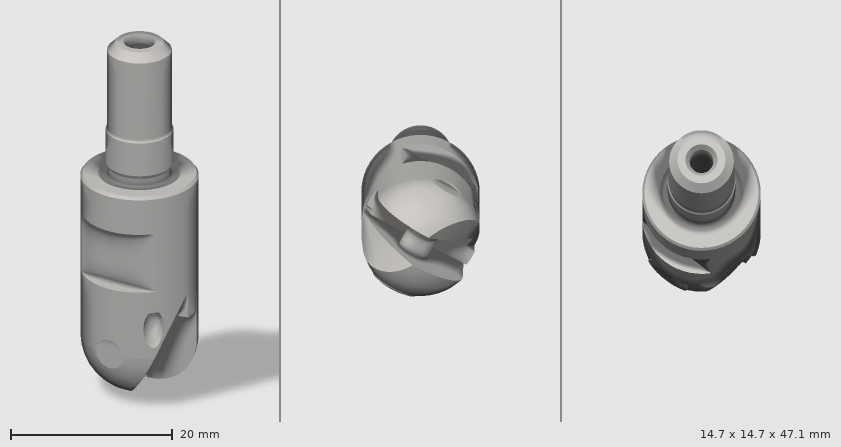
import cadquery as cq
import math

TOTAL_HEIGHT = 47.1
SHOULDER_Z = 29.2
OVERSIZE = 23.55

BODY_DIAMETER = 14.65
BODY_RADIUS = BODY_DIAMETER / 2
BODY_CHAMFER_HEIGHT = 0.4
BODY_CHAMFER_WIDTH = 0.3
STEM_RADIUS = 4.0
STEM_CHAMFER = 1.05
COLLAR_RADIUS = 4.2
COLLAR_TOP_Z = 35.15
COLLAR_TOP_BLEND = 0.45
COLLAR_BOTTOM_Z = 30.6
COLLAR_BOTTOM_TAPER = 0.45
NECK_RADIUS = 3.9
NECK_FILLET = 0.4
RELIEF_RIM_RADIUS = 5.2
RELIEF_FLOOR_RADIUS = 4.75
RELIEF_DEPTH = 0.3

FLAT_OFFSET = 5.0
FLAT_BOTTOM_Z = 16.1
FLAT_TOP_Z = 24.05

SLOT_WIDTH = 4.0
SLOT_TOP_Z = 11.15
RELIEF_SLOT_INNER_Y = 1.35
RELIEF_SLOT_OUTER_Y = 1.95
RELIEF_SLOT_TOP_Z = 13.55

DOME_CENTER_Z = math.sqrt(BODY_RADIUS**2 - (SLOT_WIDTH / 2)**2)

CUTAWAY_TURN = 12.0
CUTAWAY_SLOPE = 21.0
CUTAWAY_PLANE_Z = 7.95
CUTAWAY_PLANE_REACH = 4.5
CUTAWAY_ROUND_RADIUS = 25.45
CUTAWAY_ROUND_ANGLE = 24.0

STEM_BORE_RADIUS = 1.45
STEM_BORE_MOUTH_RADIUS = 2.0
STEM_BORE_DEPTH = 24.95
STEM_COUNTERSINK_ANGLE = 60.0
DRILL_POINT_ANGLE = 118.0
OUTLET_RADIUS = 1.1
OUTLET_MOUTH_RADIUS = 1.25
OUTLET_MOUTH_DEPTH = 2.0
OUTLET_TILT = 30.0
OUTLET_MOUTH_Z = 10.92
OUTLET_HEADINGS = (-45.0, 135.0)

PIN_RADIUS = 2.0
PIN_HALF_LENGTH = 7.05
PIN_Z = 7.05
HEAD_RADIUS = 3.0
HEAD_SEAT_Y = 6.55
HEAD_RIM_Y = 6.85
HEAD_END_RADIUS = 2.25
HEAD_POCKET_RADIUS = 3.4


def turned_blank():
    """Stem, collar, undercut neck and body as one revolved solid, with a spherical end."""
    relief_floor_z = SHOULDER_Z - RELIEF_DEPTH
    fillet_center_x = NECK_RADIUS + NECK_FILLET
    fillet_center_z = relief_floor_z + NECK_FILLET
    fillet_mid = NECK_FILLET * math.sqrt(0.5)
    blend_step = COLLAR_RADIUS - STEM_RADIUS
    blend_radius = (COLLAR_TOP_BLEND**2 + blend_step**2) / (2 * blend_step)
    half_sweep = math.asin(COLLAR_TOP_BLEND / blend_radius) / 2
    blend_mid = (
        STEM_RADIUS + blend_radius * (1 - math.cos(half_sweep)),
        COLLAR_TOP_Z + COLLAR_TOP_BLEND - blend_radius * math.sin(half_sweep),
    )
    dome_mid = BODY_RADIUS * math.sqrt(0.5)
    return (
        cq.Workplane("XZ")
        .moveTo(0, DOME_CENTER_Z - BODY_RADIUS)
        .threePointArc((dome_mid, DOME_CENTER_Z - dome_mid), (BODY_RADIUS, DOME_CENTER_Z))
        .lineTo(BODY_RADIUS, SHOULDER_Z - BODY_CHAMFER_HEIGHT)
        .lineTo(BODY_RADIUS - BODY_CHAMFER_WIDTH, SHOULDER_Z)
        .lineTo(RELIEF_RIM_RADIUS, SHOULDER_Z)
        .lineTo(RELIEF_FLOOR_RADIUS, relief_floor_z)
        .lineTo(fillet_center_x, relief_floor_z)
        .threePointArc(
            (fillet_center_x - fillet_mid, fillet_center_z - fillet_mid),
            (NECK_RADIUS, fillet_center_z),
        )
        .lineTo(NECK_RADIUS, COLLAR_BOTTOM_Z - COLLAR_BOTTOM_TAPER)
        .lineTo(COLLAR_RADIUS, COLLAR_BOTTOM_Z)
        .lineTo(COLLAR_RADIUS, COLLAR_TOP_Z)
        .threePointArc(blend_mid, (STEM_RADIUS, COLLAR_TOP_Z + COLLAR_TOP_BLEND))
        .lineTo(STEM_RADIUS, TOTAL_HEIGHT - STEM_CHAMFER)
        .lineTo(STEM_RADIUS - STEM_CHAMFER, TOTAL_HEIGHT)
        .lineTo(0, TOTAL_HEIGHT)
        .close()
        .revolve(360, (0, 0, 0), (0, 1, 0))
    )


def box_between(y_range, z_range):
    """Box centred on X, long enough to pass through the part."""
    return (
        cq.Workplane("XY")
        .box(OVERSIZE, y_range[1] - y_range[0], z_range[1] - z_range[0])
        .translate((0, sum(y_range) / 2, sum(z_range) / 2))
    )


def wrench_flats():
    """Cutters for the two parallel flats on the body."""
    height = (FLAT_BOTTOM_Z, FLAT_TOP_Z)
    front = box_between((-OVERSIZE, -FLAT_OFFSET), height)
    back = box_between((FLAT_OFFSET, OVERSIZE), height)
    return front.union(back)


def fork_slots():
    """Cutters for the fork slot and the narrow slot that rises beside its +Y wall."""
    fork = box_between((-SLOT_WIDTH / 2, SLOT_WIDTH / 2), (-OVERSIZE, SLOT_TOP_Z))
    narrow = box_between((RELIEF_SLOT_INNER_Y, RELIEF_SLOT_OUTER_Y), (0, RELIEF_SLOT_TOP_Z))
    return fork.union(narrow)


def prong_cutaways():
    """Cutters that slope off one side of each prong, half a turn apart."""
    slope = math.radians(CUTAWAY_SLOPE)
    plane_end = (
        CUTAWAY_PLANE_REACH + OVERSIZE * math.sin(slope),
        CUTAWAY_PLANE_Z + OVERSIZE * math.cos(slope),
    )
    round_center = (
        CUTAWAY_PLANE_REACH - CUTAWAY_ROUND_RADIUS * math.cos(slope),
        CUTAWAY_PLANE_Z + CUTAWAY_ROUND_RADIUS * math.sin(slope),
    )

    def round_point(swept):
        angle = slope + math.radians(swept)
        return (
            round_center[0] + CUTAWAY_ROUND_RADIUS * math.cos(angle),
            round_center[1] - CUTAWAY_ROUND_RADIUS * math.sin(angle),
        )

    round_end = round_point(CUTAWAY_ROUND_ANGLE)
    cutter = (
        cq.Workplane("XZ", origin=(0, -SLOT_WIDTH / 2, 0))
        .moveTo(*plane_end)
        .lineTo(CUTAWAY_PLANE_REACH, CUTAWAY_PLANE_Z)
        .threePointArc(round_point(CUTAWAY_ROUND_ANGLE / 2), round_end)
        .lineTo(plane_end[0], round_end[1])
        .close()
        .extrude(OVERSIZE)
        .rotate((0, 0, 0), (0, 0, 1), CUTAWAY_TURN)
    )
    return cutter.union(cutter.rotate((0, 0, 0), (0, 0, 1), 180))


def stem_bore():
    """Countersunk blind bore down the stem, with a drill-point bottom."""
    floor_z = TOTAL_HEIGHT - STEM_BORE_DEPTH
    point_height = STEM_BORE_RADIUS / math.tan(math.radians(DRILL_POINT_ANGLE / 2))
    countersink_depth = (STEM_BORE_MOUTH_RADIUS - STEM_BORE_RADIUS) / math.tan(
        math.radians(STEM_COUNTERSINK_ANGLE / 2)
    )
    return (
        cq.Workplane("XZ")
        .moveTo(0, floor_z - point_height)
        .lineTo(STEM_BORE_RADIUS, floor_z)
        .lineTo(STEM_BORE_RADIUS, TOTAL_HEIGHT - countersink_depth)
        .lineTo(STEM_BORE_MOUTH_RADIUS, TOTAL_HEIGHT)
        .lineTo(0, TOTAL_HEIGHT)
        .close()
        .revolve(360, (0, 0, 0), (0, 1, 0))
    )


def outlet_bore(heading):
    """Passage sloping down from the axis and out through the side, with a wider mouth."""
    tilt = math.radians(OUTLET_TILT)
    turn = math.radians(heading)
    start_z = OUTLET_MOUTH_Z + BODY_RADIUS / math.tan(tilt)
    direction = cq.Vector(
        math.sin(tilt) * math.cos(turn),
        math.sin(tilt) * math.sin(turn),
        -math.cos(tilt),
    )
    start = cq.Vector(0, 0, start_z)
    mouth_start = start + direction * (BODY_RADIUS / math.sin(tilt) - OUTLET_MOUTH_DEPTH)
    passage = cq.Solid.makeCylinder(OUTLET_RADIUS, OVERSIZE, start, direction)
    mouth = cq.Solid.makeCylinder(OUTLET_MOUTH_RADIUS, OVERSIZE, mouth_start, direction)
    return cq.Workplane(passage).union(cq.Workplane(mouth))


def pin_hole():
    """Through hole along Y for the pin, with a pocket for its head on the +Y side."""
    hole = (
        cq.Workplane("XZ", origin=(0, -OVERSIZE / 2, PIN_Z))
        .circle(PIN_RADIUS)
        .extrude(-OVERSIZE)
    )
    pocket = (
        cq.Workplane("XZ", origin=(0, HEAD_SEAT_Y, PIN_Z))
        .circle(HEAD_POCKET_RADIUS)
        .extrude(-OVERSIZE)
    )
    return hole.union(pocket)


def make_housing():
    """Stemmed housing with the forked, domed lower end."""
    housing = turned_blank().cut(wrench_flats()).cut(fork_slots()).cut(prong_cutaways())
    housing = housing.cut(stem_bore())
    for heading in OUTLET_HEADINGS:
        housing = housing.cut(outlet_bore(heading))
    return housing.cut(pin_hole())


def make_pin():
    """Cross pin along Y with a low chamfered head at the +Y end."""
    return (
        cq.Workplane("XY")
        .moveTo(0, -PIN_HALF_LENGTH)
        .lineTo(PIN_RADIUS, -PIN_HALF_LENGTH)
        .lineTo(PIN_RADIUS, HEAD_SEAT_Y)
        .lineTo(HEAD_RADIUS, HEAD_SEAT_Y)
        .lineTo(HEAD_RADIUS, HEAD_RIM_Y)
        .lineTo(HEAD_END_RADIUS, PIN_HALF_LENGTH)
        .lineTo(0, PIN_HALF_LENGTH)
        .close()
        .revolve(360, (0, 0, 0), (0, 1, 0))
        .translate((0, 0, PIN_Z))
    )


housing = make_housing()
pin = make_pin()
result = cq.Compound.makeCompound([housing.solids().val(), pin.solids().val()])